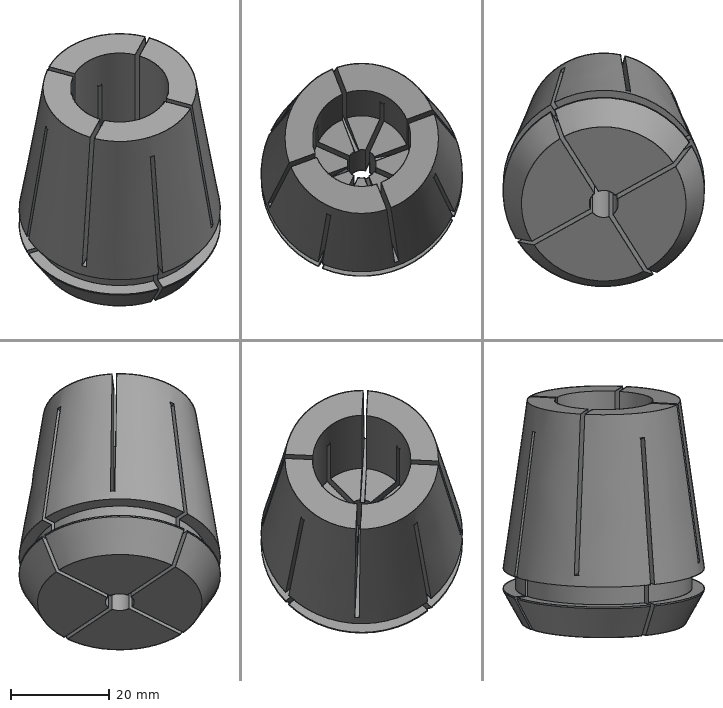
import cadquery as cq
import math

height = 46.0
rim_diameter = 41.0
rim_radius = rim_diameter / 2

nose_height = 6.75
nose_radius = 16.75
rim_top = 7.1
groove_radius = 18.0
taper_base = 11.22
taper_angle = 8.0
taper_top_radius = rim_radius - (height - taper_base) * math.tan(math.radians(taper_angle))

tool_bore_radius = 2.95
relief_bore_radius = 10.0
relief_floor = 20.7

slit_width = 0.9
saw_radius = 20.0
lower_slit_centre = (22.8, 22.1)
upper_slit_centre = (17.4, 33.25)
slit_reach = 27.6
end_clearance = 2.3
slit_count = 4
slit_pitch = 360.0 / slit_count


def collet_body():
    """Outer shape revolved about Z, with the stepped bore removed."""
    outline = [
        (tool_bore_radius, 0),
        (nose_radius, 0),
        (rim_radius, nose_height),
        (rim_radius, rim_top),
        (groove_radius, rim_top),
        (groove_radius, taper_base),
        (rim_radius, taper_base),
        (taper_top_radius, height),
        (relief_bore_radius, height),
        (relief_bore_radius, relief_floor),
        (tool_bore_radius, relief_floor),
    ]
    return cq.Workplane("XZ").polyline(outline).close().revolve(360, (0, 0, 0), (0, 1, 0))


def saw_slit(centre, toward, open_end):
    """Radial slit along +X, ended by a saw arc and open up or down to open_end.

    toward is +1 when the arc closes the top of the slit and -1 when it closes the bottom.
    """
    centre_radius, centre_height = centre

    def arc_point(radius):
        rise = math.sqrt(saw_radius**2 - (radius - centre_radius) ** 2)
        return (radius, centre_height + toward * rise)

    inner = max(0.0, centre_radius - saw_radius)
    middle = (inner + slit_reach) / 2
    return (
        cq.Workplane("XZ")
        .moveTo(inner, open_end)
        .lineTo(*arc_point(inner))
        .threePointArc(arc_point(middle), arc_point(slit_reach))
        .lineTo(slit_reach, open_end)
        .close()
        .extrude(slit_width / 2, both=True)
    )


lower_slit = saw_slit(lower_slit_centre, 1, -end_clearance)
upper_slit = saw_slit(upper_slit_centre, -1, height + end_clearance)

result = collet_body()
for index in range(slit_count):
    lower_angle = index * slit_pitch
    upper_angle = lower_angle + slit_pitch / 2
    result = result.cut(lower_slit.rotate((0, 0, 0), (0, 0, 1), lower_angle))
    result = result.cut(upper_slit.rotate((0, 0, 0), (0, 0, 1), upper_angle))